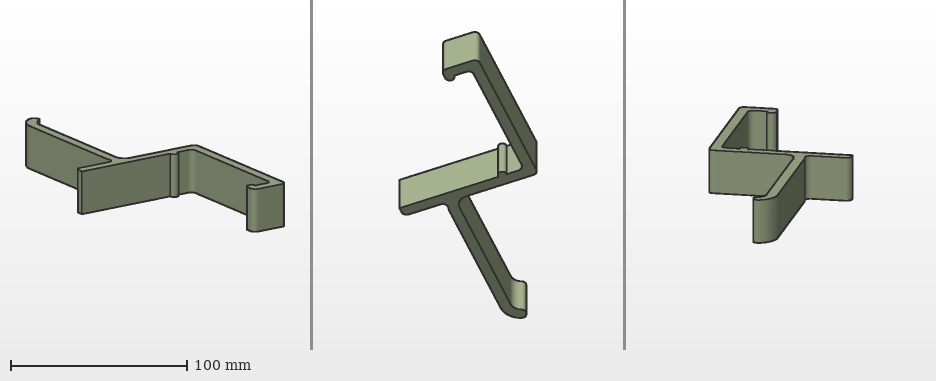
import cadquery as cq
import math

total_width = 185.26
total_height = 82.55
length = 25.4
wall = 6.35

channel_width = 90.7
lip_drop = 22.4
outer_radius = wall / 2
inner_radius = 3.175
bead_top_drop = 16.8
web_bead_radius = 2.54
web_bead_reach = 2.8
lip_bead_reach = 2.55

shelf_bottom = 25.4
shelf_top = shelf_bottom + wall
shelf_fillet = 6.35
relief_radius = 3.175
relief_drop = 2.7

hook_inner_radius = 6.35
hook_outer_radius = hook_inner_radius + wall
hook_tip_radius = wall / 2
hook_end_angle = math.radians(180 + 22.5)

channel_inner_x = channel_width - wall
channel_inner_y = total_height - wall
lip_bottom = total_height - lip_drop
bead_top = total_height - bead_top_drop
lip_bead_radius = (bead_top - lip_bottom) / 2

hook_middle_radius = (hook_inner_radius + hook_outer_radius) / 2
hook_reach = hook_tip_radius - hook_middle_radius * math.cos(hook_end_angle)
hook_center_x = channel_width - total_width + hook_reach
hook_center_y = shelf_top + hook_inner_radius

relief_center_x = -relief_radius
relief_center_y = shelf_bottom - relief_drop
blend_start_x = -shelf_fillet
blend_offset = relief_center_x - blend_start_x
blend_radius = (blend_offset**2 + relief_drop**2 - relief_radius**2) / (2 * (relief_radius - relief_drop))
relief_share = relief_radius / (relief_radius + blend_radius)
blend_end_x = relief_center_x - relief_share * blend_offset
blend_end_y = relief_center_y + relief_share * (relief_drop + blend_radius)


def hook_point(radius):
    """Point on the hook's end line, at a radius from the hook's center."""
    return (
        hook_center_x + radius * math.cos(hook_end_angle),
        hook_center_y + radius * math.sin(hook_end_angle),
    )


def round_to(profile, x, y):
    """Continue the outline with an arc tangent to its last piece."""
    return profile.tangentArcPoint((x, y), relative=False)


def make_body():
    """Web, channel and hooked shelf as one closed outline."""
    outline = cq.Workplane("XY").moveTo(wall, 0)

    outline = outline.lineTo(wall, channel_inner_y - inner_radius)
    outline = round_to(outline, wall + inner_radius, channel_inner_y)
    outline = outline.lineTo(channel_inner_x - inner_radius, channel_inner_y)
    outline = round_to(outline, channel_inner_x, channel_inner_y - inner_radius)

    outline = outline.lineTo(channel_inner_x, lip_bottom)
    outline = outline.lineTo(channel_width - outer_radius, lip_bottom)
    outline = round_to(outline, channel_width, lip_bottom + outer_radius)
    outline = outline.lineTo(channel_width, total_height - outer_radius)
    outline = round_to(outline, channel_width - outer_radius, total_height)
    outline = outline.lineTo(outer_radius, total_height)
    outline = round_to(outline, 0, total_height - outer_radius)

    outline = outline.lineTo(0, shelf_top + shelf_fillet)
    outline = round_to(outline, -shelf_fillet, shelf_top)
    outline = outline.lineTo(hook_center_x, shelf_top)
    outline = round_to(outline, *hook_point(hook_inner_radius))
    outline = round_to(outline, *hook_point(hook_outer_radius))
    outline = round_to(outline, hook_center_x, shelf_bottom)

    outline = outline.lineTo(blend_start_x, shelf_bottom)
    outline = round_to(outline, blend_end_x, blend_end_y)
    outline = round_to(outline, 0, relief_center_y)
    outline = outline.lineTo(0, outer_radius)
    outline = round_to(outline, outer_radius, 0)
    return outline.close().extrude(length)


def make_bead(x, radius):
    """Round bead running the full length, with its top level with bead_top."""
    return cq.Workplane("XY").center(x, bead_top - radius).circle(radius).extrude(length)


web_bead = make_bead(wall + web_bead_reach - web_bead_radius, web_bead_radius)
lip_bead = make_bead(channel_inner_x - lip_bead_reach + lip_bead_radius, lip_bead_radius)

result = make_body().union(web_bead).union(lip_bead)